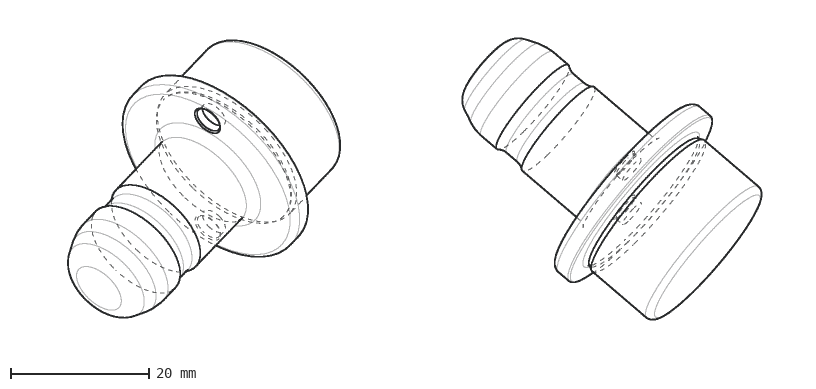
import cadquery as cq
import math

total_length = 42.8

body_radius = 25.0 / 2
body_rim_radius = 0.95

flange_radius = 31.5 / 2
flange_back = 12.8
flange_front = 16.1
flange_back_edge_radius = 0.25
flange_front_edge_radius = 1.0

relief_start = 11.4
relief_slope_length = 0.75
relief_depth = 0.4
relief_corner_radius = flange_back - relief_start - relief_slope_length

shank_radius = 16.0 / 2
shank_root_fillet = 1.5
groove_radius = 15.0 / 2
groove_start = 28.8
groove_end = 33.73
groove_flank_length = 1.4

nose_length = 6.0
nose_angle = math.radians(22.5)
shoulder_arc_radius = 6.0
tip_arc_radius = 3.0

pin_hole_diameter = 4.1
pin_hole_mouth_diameter = 4.6
pin_hole_depth = 1.5
pin_hole_offset = 12.0


def arc_point(center, radius, angle_degrees):
    """Point (radius, station) on a circle; 0 degrees faces outward, 90 towards the tip."""
    angle = math.radians(angle_degrees)
    return (center[0] + radius * math.cos(angle), center[1] + radius * math.sin(angle))


def add_arc(profile, center, radius, start_angle, end_angle):
    """Draw straight to the arc's start, then along the arc; angles in degrees."""
    middle = arc_point(center, radius, (start_angle + end_angle) / 2)
    end = arc_point(center, radius, end_angle)
    return profile.lineTo(*arc_point(center, radius, start_angle)).threePointArc(middle, end)


def make_turned_body():
    """Revolve the half outline, drawn as (radius, station), about the axis."""
    profile = cq.Workplane("XY").moveTo(0, 0)

    rim_center = (body_radius - body_rim_radius, body_rim_radius)
    profile = add_arc(profile, rim_center, body_rim_radius, -90, 0)
    relief_floor = body_radius - relief_depth
    profile = profile.lineTo(body_radius, relief_start)
    corner_center = (relief_floor + relief_corner_radius, flange_back - relief_corner_radius)
    profile = add_arc(profile, corner_center, relief_corner_radius, 180, 90)

    back_edge = flange_back_edge_radius
    front_edge = flange_front_edge_radius
    profile = add_arc(profile, (flange_radius - back_edge, flange_back + back_edge), back_edge, -90, 0)
    profile = add_arc(profile, (flange_radius - front_edge, flange_front - front_edge), front_edge, 0, 90)
    root_center = (shank_radius + shank_root_fillet, flange_front + shank_root_fillet)
    profile = add_arc(profile, root_center, shank_root_fillet, 270, 180)

    groove_depth = shank_radius - groove_radius
    flank_radius = (groove_flank_length**2 + groove_depth**2) / (2 * groove_depth)
    flank_angle = math.degrees(math.asin(groove_flank_length / flank_radius))
    flank_center_radius = groove_radius + flank_radius
    first_center = (flank_center_radius, groove_start + groove_flank_length)
    second_center = (flank_center_radius, groove_end - groove_flank_length)
    profile = add_arc(profile, first_center, flank_radius, 180 + flank_angle, 180)
    profile = add_arc(profile, second_center, flank_radius, 180, 180 - flank_angle)

    nose_start = total_length - nose_length
    shoulder_center = (shank_radius - shoulder_arc_radius, nose_start)
    tip_center_station = total_length - tip_arc_radius
    arc_gap = shoulder_arc_radius - tip_arc_radius
    center_spacing = tip_center_station - nose_start
    tip_center_radius = (
        shoulder_center[0] + (arc_gap - center_spacing * math.sin(nose_angle)) / math.cos(nose_angle)
    )
    cone_degrees = math.degrees(nose_angle)
    profile = add_arc(profile, shoulder_center, shoulder_arc_radius, 0, cone_degrees)
    profile = add_arc(profile, (tip_center_radius, tip_center_station), tip_arc_radius, cone_degrees, 90)

    profile = profile.lineTo(0, total_length).close()
    turned = profile.revolve(360, (0, 0), (0, 1))
    return turned.rotate((0, 0, 0), (0, 0, 1), 180)


def make_pin_hole(z):
    """Cutter for one blind hole with a chamfered mouth."""
    hole_radius = pin_hole_diameter / 2
    mouth_radius = pin_hole_mouth_diameter / 2
    chamfer = mouth_radius - hole_radius
    outline = [
        (0, 0),
        (mouth_radius, 0),
        (hole_radius, chamfer),
        (hole_radius, pin_hole_depth),
        (0, pin_hole_depth),
    ]
    cutter = cq.Workplane("XY").polyline(outline).close().revolve(360, (0, 0), (0, 1))
    return cutter.translate((0, -flange_front, z))


result = make_turned_body()
for hole_z in (-pin_hole_offset, pin_hole_offset):
    result = result.cut(make_pin_hole(hole_z))